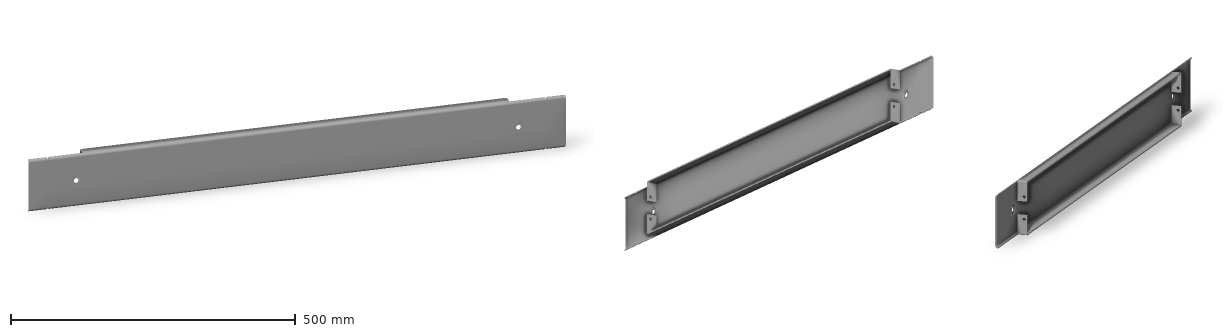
import cadquery as cq

length = 991.0
height = 98.0
depth = 23.0
thickness = 2.5
inner_radius = 2.5
outer_radius = inner_radius + thickness

flange_length = 789.0

tab_reach = 37.0
tab_corner_radius = 2.0
tab_hole_diameter = 6.0
tab_hole_from_lip = 6.0
tab_hole_from_tip = 8.0

screw_hole_y = 408.0
screw_hole_diameter = 9.0
recess_diameter = 19.0
recess_floor_diameter = 14.0
recess_depth = thickness / 2

notch_y = 460.0
notch_width = 4.0
notch_depth = thickness

lip_x = -depth / 2
web_back_x = depth / 2
web_face_x = web_back_x - thickness
bend_start_x = web_back_x - outer_radius
flange_end_y = flange_length / 2
tab_inner_y = flange_end_y - thickness
half_height = height / 2


def block(x_range, y_range, z_range):
    """Box given by its lower and upper limits along each axis."""
    limits = (x_range, y_range, z_range)
    sizes = [high - low for low, high in limits]
    corner = tuple(low for low, high in limits)
    return cq.Workplane("XY").box(*sizes, centered=False).translate(corner)


def bent_channel():
    """U-shaped sheet with rounded bends, open toward -X, running the full length."""
    outside = block((lip_x, web_back_x), (-length / 2, length / 2), (-half_height, half_height))
    outside = outside.edges("|Y and >X").fillet(outer_radius)
    inner_half_height = half_height - thickness
    inside = block((lip_x, web_face_x), (-length / 2, length / 2), (-inner_half_height, inner_half_height))
    inside = inside.edges("|Y and >X").fillet(inner_radius)
    return outside.cut(inside)


def end_trim(end):
    """Flange material removed from the inner side of a tab outward, leaving the bends."""
    y_limits = sorted((end * tab_inner_y, end * length / 2))
    return block((lip_x, bend_start_x), y_limits, (-half_height, half_height))


def end_tab(end, side):
    """Tab across one flange end, with a rounded fold and a hole near its free corner."""
    y_limits = sorted((end * tab_inner_y, end * flange_end_y))
    tip_z = side * (half_height - tab_reach)
    z_limits = sorted((tip_z, side * half_height))
    tab = block((lip_x, bend_start_x), y_limits, z_limits)
    y_side = ">Y" if end > 0 else "<Y"
    z_side = ">Z" if side > 0 else "<Z"
    tab = tab.edges(f"{y_side} and {z_side}").fillet(tab_corner_radius)
    hole = (
        cq.Workplane("XZ")
        .center(lip_x + tab_hole_from_lip, tip_z + side * tab_hole_from_tip)
        .circle(tab_hole_diameter / 2)
        .extrude(length / 2, both=True)
    )
    return tab.cut(hole)


def screw_hole(end):
    """Through hole in the web with a conical recess around it on the inner face."""
    inner_face = cq.Workplane("YZ", origin=(web_face_x, end * screw_hole_y, 0))
    recess = (
        inner_face.circle(recess_diameter / 2)
        .workplane(offset=recess_depth)
        .circle(recess_floor_diameter / 2)
        .loft(ruled=True)
    )
    return recess.union(inner_face.circle(screw_hole_diameter / 2).extrude(thickness))


def edge_notch(end, side):
    """Slit across one bent edge of the web, beyond the flange."""
    middle_y = end * notch_y
    z_limits = sorted((side * (half_height - notch_depth), side * half_height))
    y_limits = (middle_y - notch_width / 2, middle_y + notch_width / 2)
    return block((lip_x, web_back_x), y_limits, z_limits)


result = bent_channel()
for end in (-1, 1):
    result = result.cut(end_trim(end))
    result = result.cut(screw_hole(end))
    for side in (-1, 1):
        result = result.union(end_tab(end, side))
        result = result.cut(edge_notch(end, side))